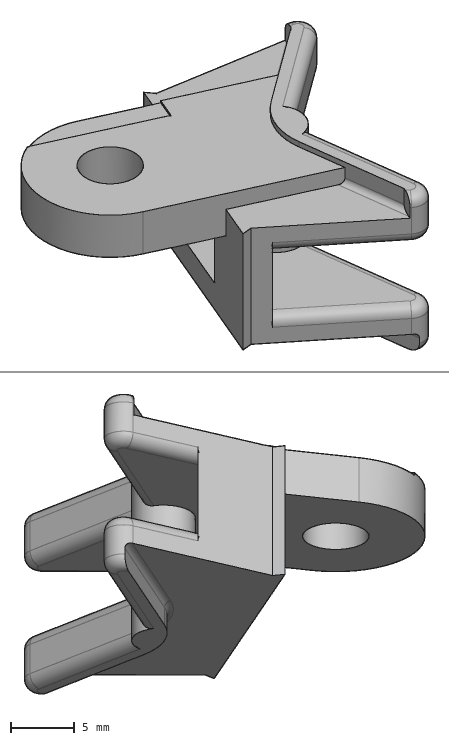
import math

import cadquery as cq


TOTAL_HEIGHT = 15.0
SLOT_BOTTOM = 4.5
SLOT_TOP = TOTAL_HEIGHT - SLOT_BOTTOM
LIP_HEIGHT = 2.0
BLOCK_BOTTOM = LIP_HEIGHT
BLOCK_TOP = TOTAL_HEIGHT - LIP_HEIGHT

HALF_WIDTH = 13.5
TIP_Y = 22.0
TIP_RADIUS = 1.5
ARM_ANGLE = math.radians(30)
SIDE_ANGLE = math.radians(15)
BACK_Y = 7.0
PLATE_FILLET = 1.0

LIP_THICKNESS = 2.0
LIP_BEND_RADIUS = 6.0
UPPER_LIP_END_Y = 20.0
LIP_FILLET = 0.5
CLEARANCE = 5.0

FLARE_HALF_WIDTH = 10.67
FLARE_ANGLE = math.radians(30)
WINDOW_HALF_WIDTH = 4.5
RIGHT_WALL_THICKNESS = 2.5

POST_Y = 14.0
POST_RADIUS = 2.5

LUG_RADIUS = 7.0
LUG_BOTTOM = SLOT_TOP
LUG_TOP = 14.5
LUG_HOLE_DIAMETER = 5.2
LABEL_EDGE_X = -4.8
LABEL_DEPTH = 0.2

TIP_CENTER_X = HALF_WIDTH - TIP_RADIUS
TIP_CENTER_Y = TIP_Y - TIP_RADIUS


def on_tip(angle):
    """Point of the rounded tip at an angle measured from +X."""
    return (TIP_CENTER_X + TIP_RADIUS * math.cos(angle), TIP_CENTER_Y + TIP_RADIUS * math.sin(angle))


FACE_TANGENT = on_tip(math.pi / 2 + ARM_ANGLE)
SIDE_TANGENT = on_tip(-SIDE_ANGLE)
TIP_MIDDLE = on_tip((math.pi / 2 + ARM_ANGLE - SIDE_ANGLE) / 2)
V_APEX_Y = FACE_TANGENT[1] - FACE_TANGENT[0] * math.tan(ARM_ANGLE)
LIP_APEX_Y = V_APEX_Y - LIP_THICKNESS / math.cos(ARM_ANGLE)


def side_x(y):
    """X of the +X side face at a given Y."""
    return SIDE_TANGENT[0] - (SIDE_TANGENT[1] - y) * math.tan(SIDE_ANGLE)


def lip_y(x):
    """Y of the straight back of the lip at a given X."""
    return LIP_APEX_Y + abs(x) * math.tan(ARM_ANGLE)


def prism(outline, bottom, top):
    """Extrude a closed XY outline between two heights."""
    return outline.extrude(top - bottom).translate((0, 0, bottom))


def with_mirror(half):
    """Join a +X half with its mirror image."""
    return half.union(half.mirror("YZ"))


def half_outline():
    """The +X half of the plate outline, without the flare."""
    return (
        cq.Workplane("XY")
        .moveTo(0, BACK_Y)
        .lineTo(side_x(BACK_Y), BACK_Y)
        .lineTo(*SIDE_TANGENT)
        .threePointArc(TIP_MIDDLE, FACE_TANGENT)
        .lineTo(0, V_APEX_Y)
        .close()
    )


def v_plate(bottom, top):
    """V plate with both rims rounded along the side, the tip and the V face."""
    half = prism(half_outline(), bottom, top)
    rims = half.faces("<Z or >Z").edges("not(|X or |Y)")
    return with_mirror(rims.fillet(PLATE_FILLET))


def flares():
    """Small flared wedges at the back corners of the block."""
    overhang = FLARE_HALF_WIDTH - side_x(BACK_Y)
    meeting_y = BACK_Y + overhang / (math.tan(FLARE_ANGLE) + math.tan(SIDE_ANGLE))
    wedge = (
        cq.Workplane("XY")
        .moveTo(side_x(BACK_Y), BACK_Y)
        .lineTo(FLARE_HALF_WIDTH, BACK_Y)
        .lineTo(side_x(meeting_y), meeting_y)
        .close()
    )
    return with_mirror(prism(wedge, BLOCK_BOTTOM, BLOCK_TOP))


def left_web():
    """Wedge joining the plates on the -X side, with a 45 degree slot floor."""
    run = (side_x(BACK_Y) - WINDOW_HALF_WIDTH) / (1 - math.tan(SIDE_ANGLE))
    wedge = (
        cq.Workplane("XY")
        .moveTo(-WINDOW_HALF_WIDTH, BACK_Y)
        .lineTo(-WINDOW_HALF_WIDTH - run, BACK_Y + run)
        .lineTo(-side_x(BACK_Y), BACK_Y)
        .close()
    )
    return prism(wedge, BLOCK_BOTTOM, BLOCK_TOP)


def right_web():
    """Thin wall joining the plates on the +X side."""
    inner_y = BACK_Y + RIGHT_WALL_THICKNESS
    wall = (
        cq.Workplane("XY")
        .moveTo(WINDOW_HALF_WIDTH, BACK_Y)
        .lineTo(side_x(BACK_Y), BACK_Y)
        .lineTo(side_x(inner_y), inner_y)
        .lineTo(WINDOW_HALF_WIDTH, inner_y)
        .close()
    )
    return prism(wall, BLOCK_BOTTOM, BLOCK_TOP)


def post():
    """Round post through the full height."""
    return cq.Workplane("XY").center(0, POST_Y).circle(POST_RADIUS).extrude(TOTAL_HEIGHT)


def recess(bottom, top, floor_selector, end_y):
    """Body cut away behind a lip, with its floor edge along the lip rounded."""
    bend_x = LIP_BEND_RADIUS * math.sin(ARM_ANGLE)
    bend_y = lip_y(bend_x) - LIP_BEND_RADIUS * (1 - math.cos(ARM_ANGLE))
    outer_x = HALF_WIDTH + CLEARANCE
    front_y = BACK_Y - CLEARANCE
    lip_end_x = (end_y - LIP_APEX_Y) / math.tan(ARM_ANGLE)
    outline = (
        cq.Workplane("XY")
        .moveTo(-outer_x, front_y)
        .lineTo(outer_x, front_y)
        .lineTo(outer_x, end_y)
        .lineTo(lip_end_x, end_y)
        .lineTo(bend_x, lip_y(bend_x))
        .threePointArc((0, bend_y), (-bend_x, lip_y(bend_x)))
        .lineTo(-lip_end_x, end_y)
        .lineTo(-outer_x, end_y)
        .close()
    )
    body = prism(outline, bottom, top)
    return body.faces(floor_selector).edges("not(|X or |Y)").fillet(LIP_FILLET)


def lug():
    """Rounded lug reaching from the upper lip past the back of the block."""
    reach = lip_y(LUG_RADIUS)
    outline = (
        cq.Workplane("XY")
        .moveTo(-LUG_RADIUS, 0)
        .threePointArc((0, -LUG_RADIUS), (LUG_RADIUS, 0))
        .lineTo(LUG_RADIUS, reach)
        .lineTo(0, POST_Y)
        .lineTo(-LUG_RADIUS, reach)
        .close()
    )
    body = prism(outline, LUG_BOTTOM, LUG_TOP)
    hole = prism(cq.Workplane("XY").circle(LUG_HOLE_DIAMETER / 2), LUG_BOTTOM, LUG_TOP)
    label = cq.Workplane("XY").box(LUG_RADIUS, BACK_Y + LUG_RADIUS, LABEL_DEPTH, centered=False)
    label = label.translate((LABEL_EDGE_X - LUG_RADIUS, -LUG_RADIUS, LUG_TOP - LABEL_DEPTH))
    return body.cut(hole).cut(label)


result = (
    v_plate(0, SLOT_BOTTOM)
    .union(v_plate(SLOT_TOP, TOTAL_HEIGHT))
    .union(left_web())
    .union(right_web())
    .union(flares())
    .union(post())
    .cut(recess(BLOCK_TOP, TOTAL_HEIGHT + CLEARANCE, "<Z", UPPER_LIP_END_Y))
    .cut(recess(-CLEARANCE, BLOCK_BOTTOM, ">Z", TIP_Y))
    .union(lug())
)